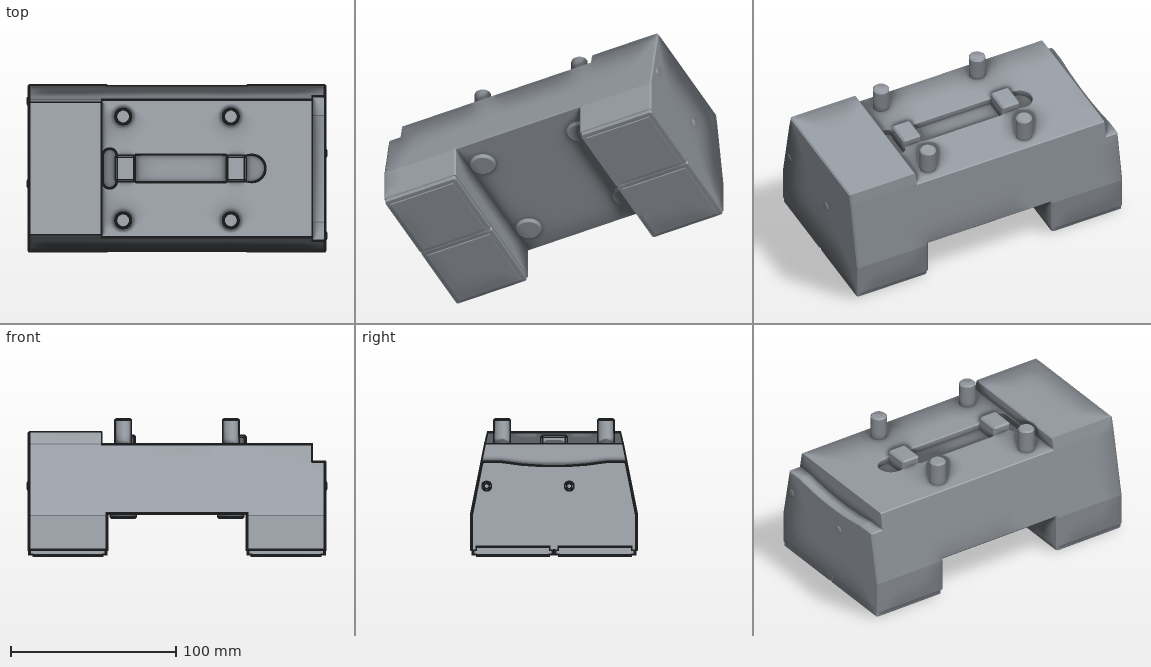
import cadquery as cq

body_length = 180.0
body_width = 101.0
fold_z = 24.6
deck_z = 68.0
deck_width = 83.6
tower_top_z = 75.3
tower_top_width = 80.0
body_bottom_z = 3.6
edge_chamfer = 0.9
fine_chamfer = 0.5

tower_end_x = -45.5
arch_width = 83.6
arch_top_z = 25.3
shelf_start_x = 81.8
shelf_z = 57.4
shelf_hollow_width = 64.6
shelf_hollow_depth = 2.7

recess_depth = 4.5
slot_width = 16.3
slot_neck_width = 16.0
slot_end_x = 53.2
slot_wide_start_x = -24.6
slot_wide_end_x = 29.3
slot_transition = 2.2
cross_slot_x = -40.7
cross_slot_width = 8.0
cross_slot_length = 23.5
rim_flare = 0.5
rim_taper = -45

clip_length = 12.1
clip_width = 16.0
clip_top_z = 73.1
clip_chamfer = 1.0
clip_start_xs = (-37.3, 29.7)

pin_diameter = 10.0
pin_top_z = 83.0
pin_spacing_x = 65.2
pin_spacing_y = 62.8
head_diameter = 16.0
head_height = 2.4

button_base_diameter = 5.6
button_tip_diameter = 3.3
button_height = 0.5
button_z = 42.4
button_ys = (40.7, -9.2)

pad_setback = 0.2
pad_inner_x = 42.4
pad_inner_y = 0.2
pad_outer_y = 49.6
pad_bottom_z = 0.9
sole_inset = 2.7
notch_inset_y = 2.5
notch_top_z = 6.0

half_length = body_length / 2
half_width = body_width / 2
half_arch = arch_width / 2
half_shelf_hollow = shelf_hollow_width / 2


def box(x0, x1, y0, y1, z0, z1):
    """Box between two opposite corners, given as pairs of limits."""
    return cq.Workplane("XY").box(x1 - x0, y1 - y0, z1 - z0, centered=False).translate((x0, y0, z0))


def make_blank():
    """Housing section extruded along X, with the deck, the arch and the shelf cut out."""
    right_side = [
        (half_width, body_bottom_z),
        (half_width, fold_z),
        (deck_width / 2, deck_z),
        (tower_top_width / 2, tower_top_z),
    ]
    left_side = [(-y, z) for y, z in reversed(right_side)]
    blank = (
        cq.Workplane("YZ")
        .polyline(right_side + left_side)
        .close()
        .extrude(body_length)
        .translate((-half_length, 0, 0))
    )
    above_deck = box(tower_end_x, half_length, -half_width, half_width, deck_z, tower_top_z)
    arch = box(-half_arch, half_arch, -half_width, half_width, body_bottom_z, arch_top_z)
    above_shelf = box(shelf_start_x, half_length, -half_width, half_width, shelf_z, deck_z)
    shelf_hollow = (
        cq.Workplane("YZ")
        .moveTo(-half_shelf_hollow, shelf_z)
        .threePointArc((0, shelf_z - shelf_hollow_depth), (half_shelf_hollow, shelf_z))
        .close()
        .extrude(half_length - shelf_start_x)
        .translate((shelf_start_x, 0, 0))
    )
    return blank.cut(above_deck).cut(arch).cut(above_shelf).cut(shelf_hollow)


def chamfer_housing(blank):
    """Chamfers around the end faces and the arch, then finer ones on the tower, deck, shelf and feet."""
    tolerance = 0.02

    def across_x(edge, x):
        """Whether the edge lies in the plane at x, above the bottom of the housing."""
        limits = edge.BoundingBox()
        in_plane = limits.xlen < tolerance and abs(limits.center.x - x) < tolerance
        return in_plane and limits.zmax > body_bottom_z + tolerance

    def level_at(edge, z):
        """Whether the edge is level, lies at height z and does not run straight across."""
        limits = edge.BoundingBox()
        at_height = abs(limits.center.z - z) < tolerance and limits.zlen < tolerance
        return at_height and limits.xlen > tolerance

    def is_strong(edge):
        height = edge.BoundingBox().zlen
        on_tower_end = across_x(edge, -half_length)
        on_shelf_end = across_x(edge, half_length) and height > shelf_hollow_depth + tolerance
        on_leg = (across_x(edge, half_arch) or across_x(edge, -half_arch)) and height > tolerance
        return on_tower_end or on_shelf_end or on_leg or level_at(edge, arch_top_z)

    def is_fine(edge):
        on_tower_top = across_x(edge, tower_end_x) and edge.Center().z > tower_top_z - tolerance
        on_deck = level_at(edge, deck_z) and edge.Center().x > tower_end_x
        on_shelf_end = across_x(edge, half_length) and edge.Center().z > shelf_z - shelf_hollow_depth
        on_shelf = level_at(edge, shelf_z) and abs(edge.Center().y) > half_shelf_hollow + tolerance
        at_foot = level_at(edge, body_bottom_z) and edge.BoundingBox().ylen < tolerance
        return on_tower_top or on_deck or on_shelf_end or on_shelf or at_foot

    strong = [edge for edge in blank.edges().vals() if is_strong(edge)]
    chamfered = blank.newObject(strong).chamfer(edge_chamfer)
    fine = [edge for edge in chamfered.edges().vals() if is_fine(edge)]
    return chamfered.newObject(fine).chamfer(fine_chamfer)


def flared_pocket(outline):
    """Pocket with the outline drawn on its floor and a flared rim at the deck."""
    walls = outline.extrude(recess_depth - rim_flare)
    rim = walls.faces(">Z").wires().toPending().extrude(rim_flare, taper=rim_taper)
    return walls.union(rim)


def make_recess():
    """Slot with one round end, its wide middle and the cross slot beside the tower."""
    floor_z = deck_z - recess_depth
    round_x = slot_end_x - slot_neck_width / 2
    floor = cq.Workplane("XY", origin=(0, 0, floor_z))
    half_neck = slot_neck_width / 2
    half_slot = slot_width / 2
    neck = box(cross_slot_x, round_x, -half_neck, half_neck, floor_z, deck_z)
    upper_side = [
        (slot_wide_start_x, half_neck),
        (slot_wide_start_x + slot_transition, half_slot),
        (slot_wide_end_x - slot_transition, half_slot),
        (slot_wide_end_x, half_neck),
    ]
    lower_side = [(x, -y) for x, y in reversed(upper_side)]
    wide = flared_pocket(floor.polyline(upper_side + lower_side).close())
    round_end = flared_pocket(floor.center(round_x, 0).circle(half_neck))
    cross = flared_pocket(floor.center(cross_slot_x, 0).slot2D(cross_slot_length, cross_slot_width, 90))
    return neck.union(wide).union(round_end).union(cross)


def make_clip(start_x):
    """Block standing on the slot floor."""
    floor_z = deck_z - recess_depth
    half_clip = clip_width / 2
    block = box(start_x, start_x + clip_length, -half_clip, half_clip, floor_z, clip_top_z)
    return block.edges("|Z or >Z").chamfer(clip_chamfer)


def make_pin(x, y):
    """Pin above the deck, with its head under the arch."""
    shank = (
        cq.Workplane("XY", origin=(x, y, arch_top_z))
        .circle(pin_diameter / 2)
        .extrude(pin_top_z - arch_top_z)
        .faces(">Z")
        .chamfer(edge_chamfer)
    )
    head = (
        cq.Workplane("XY", origin=(x, y, arch_top_z))
        .circle(head_diameter / 2)
        .extrude(-head_height)
        .faces("<Z")
        .chamfer(edge_chamfer)
    )
    return shank.union(head)


def make_button(y):
    """Flat cone on the -X end face."""
    cone = cq.Solid.makeCone(
        button_base_diameter / 2,
        button_tip_diameter / 2,
        button_height,
        cq.Vector(-half_length, y, button_z),
        cq.Vector(-1, 0, 0),
    )
    return cq.Workplane(cone)


def make_pad():
    """Foot pad at -X, +Y: a plate with a thin sole."""
    pad_end_x = pad_setback - half_length
    plate = box(pad_end_x, -pad_inner_x, pad_inner_y, pad_outer_y, pad_bottom_z, body_bottom_z)
    plate = plate.edges("|Z").chamfer(edge_chamfer)
    sole = box(
        pad_end_x + sole_inset,
        -pad_inner_x - sole_inset,
        pad_inner_y + sole_inset,
        pad_outer_y - sole_inset,
        0,
        pad_bottom_z,
    )
    return plate.union(sole)


def make_notch():
    """Shallow notch with a sloping top in the -X end face, above the +Y pad."""
    section = [
        (-half_length, body_bottom_z),
        (-half_length, notch_top_z),
        (-half_length + pad_setback, notch_top_z - fine_chamfer),
        (-half_length + pad_setback, body_bottom_z),
    ]
    start_y = pad_inner_y + notch_inset_y
    length = pad_outer_y - pad_inner_y - 2 * notch_inset_y
    return cq.Workplane("XZ", origin=(0, start_y, 0)).polyline(section).close().extrude(-length)


def four_corners(shape):
    """The shape and its mirror images in X and Y."""
    pair = shape.union(shape.mirror("XZ"))
    return pair.union(pair.mirror("YZ"))


result = chamfer_housing(make_blank())
result = result.cut(make_recess())
result = result.cut(four_corners(make_notch()))
result = result.union(four_corners(make_pad()))
result = result.union(four_corners(make_pin(-pin_spacing_x / 2, pin_spacing_y / 2)))
for clip_start_x in clip_start_xs:
    result = result.union(make_clip(clip_start_x))
for button_y in button_ys:
    button = make_button(button_y)
    result = result.union(button).union(button.rotate((0, 0, 0), (0, 0, 1), 180))